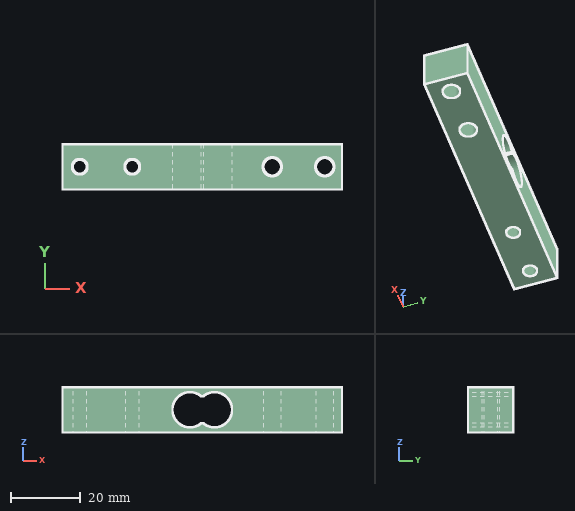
import cadquery as cq

length = 80.0
width = 13.0
height = 13.0

small_hole_diameter = 4.0
large_hole_diameter = 5.0
rim_chamfer = 0.25
rim_cone_angle = 90.0
end_margin = 5.0
hole_pitch = 15.0

bore_diameter = 10.0
bore_spacing = 7.0
cusp_gap = 7.7


def make_bar():
    """Plain bar before any holes are cut."""
    return cq.Workplane("XY").box(length, width, height, centered=(True, True, False))


def cut_mounting_holes(body, diameter, side):
    """Cut the pair of vertical holes near one end; side is -1 or +1 along X."""
    outer_x = side * (length / 2 - end_margin)
    inner_x = outer_x - side * hole_pitch
    return (
        body.faces(">Z")
        .workplane(origin=(0, 0, height))
        .pushPoints([(outer_x, 0), (inner_x, 0)])
        .cskHole(diameter, diameter + 2 * rim_chamfer, rim_cone_angle)
    )


def cut_window(body):
    """Cut the two bores along Y, then a slot between their axes that flattens the cusps."""
    mid_plane = cq.Workplane("XZ", origin=(0, 0, height / 2))
    slot = mid_plane.rect(bore_spacing, cusp_gap).extrude(width / 2, both=True)
    body = body.cut(slot)
    for side in (-1, 1):
        bore = (
            mid_plane.center(side * bore_spacing / 2, 0)
            .circle(bore_diameter / 2)
            .extrude(width / 2, both=True)
        )
        body = body.cut(bore)
    return body


bar = make_bar()
bar = cut_mounting_holes(bar, small_hole_diameter, -1)
bar = cut_mounting_holes(bar, large_hole_diameter, 1)
result = cut_window(bar)